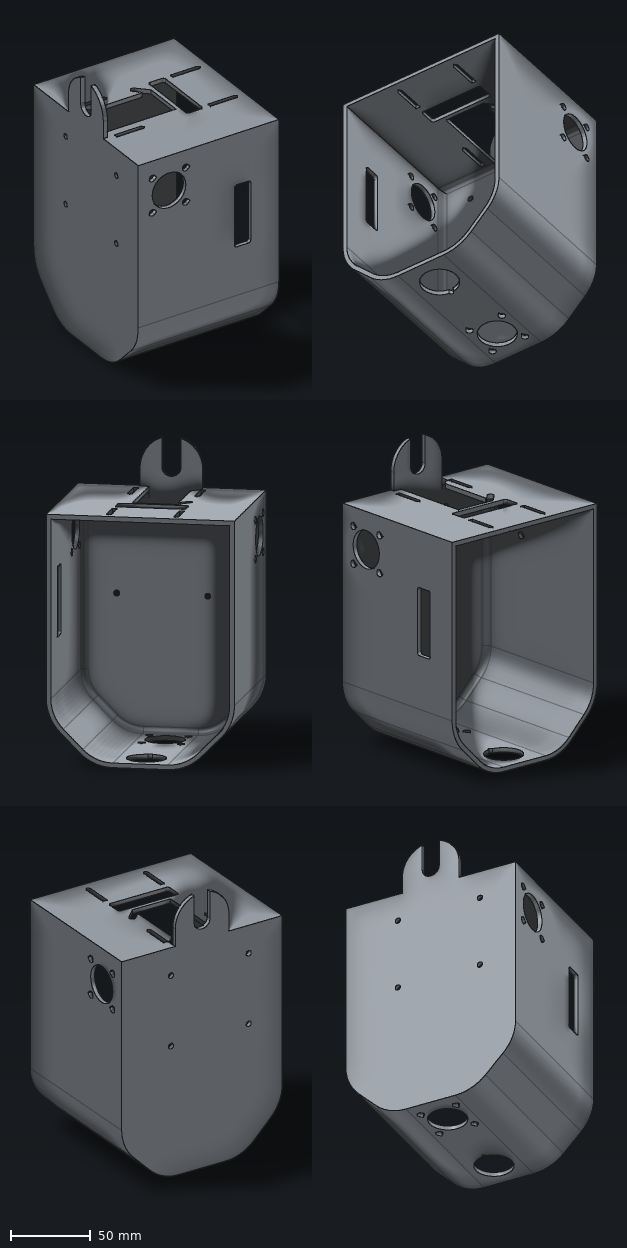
import cadquery as cq
import math


width = 120.0
depth = 105.0
body_height = 160.0
wall = 3.0
bottom_chamfer = 30.0
bottom_radius = 30.0
front_fillet = 4.0

total_height = 191.3
tab_width = 40.0
tab_slot_width = 11.9
tab_slot_bottom = body_height + 6.9
tab_radius = tab_width / 2
tab_center_z = total_height - math.sqrt(tab_radius**2 - (tab_slot_width / 2) ** 2)

board_hole_diameter = 3.6
board_hole_xs = (-23.1, 34.8)
board_hole_zs = (body_height - 68.7, body_height - 19.5)

connector_diameter = 25.0
connector_y = 23.0
connector_z = body_height - 25.0
screw_diameter = 4.5
screw_offset = 12.5

keyed_hole_y = 85.0
key_diameter = 3.0

strap_slot_width = 3.0
strap_slot_x = 21.5
strap_slot_length = 19.1
strap_slot_starts = (8.5, 78.0)
wide_slot_length = 44.8
wide_slot_width = 12.0
wide_slot_y = 67.0
wide_slot_radius = 1.7

opening_left = -14.2
opening_right = 14.2
opening_back = 58.0
notch_radius = 2.1
notch_x = -20.3
notch_y = 49.0
notch_lower_edge = 51.0
corner_left = -19.9
corner_start_y = 6.7
corner_radius = 2.3
corner_end_y = 12.8

side_slot_back = 84.0
side_slot_z = 100.0

top_plane = cq.Workplane("XY", origin=(0, 0, body_height))


def rounded_prism(inset, start_y):
    """Box outline moved inwards by inset, with its lower corners chamfered and then rounded."""
    half = width / 2 - inset
    corner = bottom_chamfer - inset * (2 - math.sqrt(2))
    prism = (
        cq.Workplane("XZ", origin=(0, start_y, 0))
        .moveTo(-half, body_height - inset)
        .lineTo(-half, inset + corner)
        .lineTo(-half + corner, inset)
        .lineTo(half - corner, inset)
        .lineTo(half, inset + corner)
        .lineTo(half, body_height - inset)
        .close()
        .extrude(start_y - depth)
    )
    lower_edges = prism.edges("|Y").filter(lambda edge: edge.Center().z < body_height / 2)
    return lower_edges.fillet(bottom_radius - inset)


def teardrop(plane, radius):
    """Closed outline of a round hole running out to a 45 degree point along the plane's local Y."""
    side = radius / math.sqrt(2)
    return (
        plane.moveTo(-side, side)
        .threePointArc((0, -radius), (side, side))
        .lineTo(0, radius * math.sqrt(2))
        .close()
    )


def connector_cut(plane, thickness):
    """Connector opening and its screw holes, through a wall lying behind the given plane."""
    cut = plane.circle(connector_diameter / 2).extrude(-thickness)
    for x in (-screw_offset, screw_offset):
        for y in (-screw_offset, screw_offset):
            hole_plane = plane.center(x, y)
            cut = cut.union(teardrop(hole_plane, screw_diameter / 2).extrude(-thickness))
    return cut


def hanging_tab():
    """Round-topped tab with an open slot, standing on the front plate."""
    side = tab_width / 2
    tab = (
        cq.Workplane("XZ")
        .moveTo(-side, body_height - wall)
        .lineTo(-side, tab_center_z)
        .threePointArc((0, tab_center_z + tab_radius), (side, tab_center_z))
        .lineTo(side, body_height - wall)
        .close()
        .extrude(-wall)
    )
    slot_radius = tab_slot_width / 2
    slot_center_z = tab_slot_bottom + slot_radius
    slot = (
        cq.Workplane("XZ")
        .moveTo(-slot_radius, total_height + tab_radius)
        .lineTo(-slot_radius, slot_center_z)
        .threePointArc((0, tab_slot_bottom), (slot_radius, slot_center_z))
        .lineTo(slot_radius, total_height + tab_radius)
        .close()
        .extrude(-wall)
    )
    return tab.cut(slot)


def strap_slot(x, start_y):
    """Narrow slot through the top, square in front and pointed at the back."""
    radius = strap_slot_width / 2
    straight = top_plane.center(x, start_y + strap_slot_length / 2)
    slot = straight.rect(strap_slot_width, strap_slot_length).extrude(-wall)
    pointed_end = top_plane.center(x, start_y + strap_slot_length)
    return slot.union(teardrop(pointed_end, radius).extrude(-wall))


def wide_slot(plane):
    """Slot with rounded corners through the wall behind the plane, long along the plane's local X."""
    slot = plane.rect(wide_slot_length, wide_slot_width).extrude(-wall)
    side_edges = slot.edges(cq.selectors.ParallelDirSelector(plane.plane.zDir))
    return side_edges.fillet(wide_slot_radius)


def main_opening():
    """Opening behind the tab, with a slanted round-ended notch on its left side.

    It goes deep enough to clear the rounded transition under the top.
    """
    reach = notch_radius / math.sqrt(2)
    upper_x = notch_x - reach
    upper_y = notch_y + reach
    lower_x = notch_x + reach
    lower_y = notch_y - reach
    corner_mid = corner_radius * math.sqrt(0.5)
    corner_right = corner_left + corner_radius
    return (
        top_plane.moveTo(corner_left, wall)
        .lineTo(corner_left, corner_start_y)
        .threePointArc(
            (corner_right - corner_mid, corner_start_y + corner_mid),
            (corner_right, corner_start_y + corner_radius),
        )
        .lineTo(opening_left, corner_end_y)
        .lineTo(opening_left, notch_lower_edge)
        .lineTo(lower_x + notch_lower_edge - lower_y, notch_lower_edge)
        .lineTo(lower_x, lower_y)
        .threePointArc((upper_x, lower_y), (upper_x, upper_y))
        .lineTo(upper_x + opening_back - upper_y, opening_back)
        .lineTo(opening_right, opening_back)
        .lineTo(opening_right, wall)
        .close()
        .extrude(-wall - front_fillet)
    )


cavity = rounded_prism(wall, wall).faces("<Y").edges().fillet(front_fillet)
body = rounded_prism(0, 0).cut(cavity).union(hanging_tab())

for x in board_hole_xs:
    for z in board_hole_zs:
        front_plane = cq.Workplane("XZ", origin=(x, 0, z))
        body = body.cut(front_plane.circle(board_hole_diameter / 2).extrude(-wall))

left_plane = cq.Workplane(cq.Plane((-width / 2, connector_y, connector_z), (0, 0, 1), (-1, 0, 0)))
body = body.cut(connector_cut(left_plane, width))
floor_plane = cq.Workplane("XY", origin=(0, 0, wall))
body = body.cut(connector_cut(floor_plane.center(0, connector_y), wall))

body = body.cut(floor_plane.center(0, keyed_hole_y).circle(connector_diameter / 2).extrude(-wall))
key_plane = floor_plane.center(0, keyed_hole_y - connector_diameter / 2)
body = body.cut(key_plane.circle(key_diameter / 2).extrude(-wall))

for x in (-strap_slot_x, strap_slot_x):
    for start_y in strap_slot_starts:
        body = body.cut(strap_slot(x, start_y))
body = body.cut(wide_slot(top_plane.center(0, wide_slot_y)))
body = body.cut(main_opening())

side_slot_y = side_slot_back - wide_slot_width / 2
right_plane = cq.Workplane(cq.Plane((width / 2, side_slot_y, side_slot_z), (0, 0, 1), (1, 0, 0)))
body = body.cut(wide_slot(right_plane))

result = body